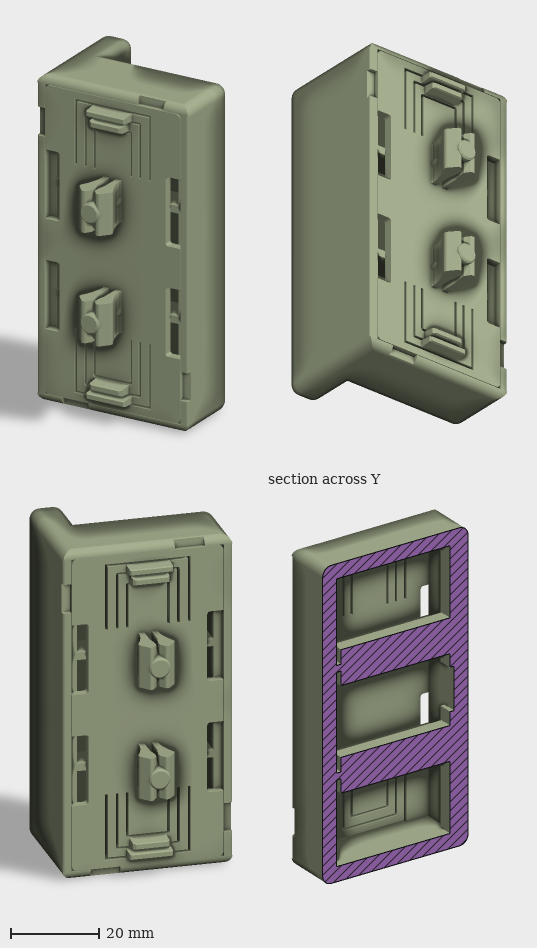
import cadquery as cq

WIDTH = 40.0
HEIGHT = 80.0
BODY_DEPTH = 18.0
WALL_DEPTH = 30.0
WALL_THICKNESS = 8.0
OUTER_RADIUS = 2.5
FRONT_RADIUS = 2.0
SIDE_RADIUS = 0.6

RIM = 2.0
PLATE_GAP = 0.2
PLATE_THICKNESS = 2.2
PLATE_CORNER = 1.2
CAVITY_INSET = 3.9
BACK_WALL = 2.0

NOTCH_LENGTH = 7.0
NOTCH_DEPTH = 1.3
END_NOTCH_X = 9.9
SIDE_NOTCH_Z = 28.6

FASTENER_Z = 13.5
FASTENER_HEIGHTS = (-FASTENER_Z, FASTENER_Z)
RIB_THICKNESS = 1.8

BAR_HEIGHT = 9.1
BAR_LENGTH = 29.9
BAR_FRONT = 9.2
LEDGE_STEP = 0.4
LEDGE_END = 5.5

BUTTON_WIDTH = 19.7
BUTTON_HEIGHT = 68.0
BUTTON_RISE = 1.8
BUTTON_GAP = 0.2
BUTTON_EDGE = 0.3

WINDOW_HEIGHT = 17.0
WINDOW_REACH = 6.0
WINDOW_CORNER = 0.6

SLOT_WIDTH = 0.6
SLOT_INNER_END = 20.0
SLOT_HALF_WIDTHS = (10.1, 7.5, 5.2)
SLOT_TOPS = (36.0, 33.7, 31.0)
SLOT_CORNERS = (0, 0.6, 0.6)

HOOK_LENGTH = 3.4
OUTER_HOOK = (5.1, 33.7, 35.5, 0.2, 0.3)
INNER_HOOK = (4.3, 31.1, 33.2, 0.3, 0.6)
HOOK_BEVEL = 0.2
HOOK_TIP = 0.5

CLIP_HEIGHT = 10.2
CLIP_LENGTH = 9.9
CLIP_FOOT_HALF = 2.5
CLIP_NECK_HALF = 2.4
CLIP_TIP_HALF = 2.2
CLIP_TIP_INNER = 1.7
CLIP_FLARE_END = 0.52
CLIP_NECK_END = 2.1
SLIT_HALF_WIDE = 0.9
SLIT_HALF_NARROW = 0.4
SLIT_WIDE_END = 4.8
SLIT_NARROW_START = 7.0
SLIT_NARROW_END = 8.5
CLIP_FLANK_MIDDLE = (3.0, -4.4)
CLIP_BULGE_START = (4.0, -6.5)
CLIP_BULGE_CREST = (4.2, -7.3)
CLIP_BULGE_END = (3.8, -8.1)
CLIP_LEAD_IN_MIDDLE = (1.4, -9.8)
CLIP_LEAD_IN_END = (1.1, -9.4)

PIN_DIAMETER = 5.0
PIN_LENGTH = 10.5
PIN_CHAMFER = 0.4


def block(x_min, x_max, y_min, y_max, z_min, z_max):
    """Box between two opposite corners."""
    size = (x_max - x_min, y_max - y_min, z_max - z_min)
    return cq.Workplane("XY").box(*size, centered=False).translate((x_min, y_min, z_min))


def centred_block(width, y_min, y_max, height):
    """Box centred on X and Z."""
    return block(-width / 2, width / 2, y_min, y_max, -height / 2, height / 2)


def rounded_plate(width, y_min, y_max, height, corner):
    """Centred box with rounded corners in the XZ plane."""
    return centred_block(width, y_min, y_max, height).edges("|Y").fillet(corner)


def housing_shell():
    """L-shaped block with rounded outer edges."""
    right = WIDTH / 2
    outline = [
        (-right, 0),
        (right, 0),
        (right, BODY_DEPTH),
        (-right + WALL_THICKNESS, BODY_DEPTH),
        (-right + WALL_THICKNESS, WALL_DEPTH),
        (-right, WALL_DEPTH),
    ]
    shell = cq.Workplane("XY").polyline(outline).close().extrude(HEIGHT)
    shell = shell.translate((0, 0, -HEIGHT / 2))
    back_corners = [outline[2], outline[4], outline[5]]
    for x, y in back_corners:
        shell = shell.edges(cq.selectors.NearestToPointSelector((x, y, 0))).fillet(OUTER_RADIUS)
    for end in (">Z", "<Z"):
        shell = shell.faces(end).edges("not(<Y)").fillet(OUTER_RADIUS)
    envelope = centred_block(WIDTH, 0, WALL_DEPTH, HEIGHT).edges("<Y and |X").fillet(FRONT_RADIUS)
    return shell.intersect(envelope)


def side_rounding(side):
    """Sliver that rounds the front edge of one side between the two ends."""
    x = side * WIDTH / 2
    height = HEIGHT - 2 * RIM
    corner = centred_block(2 * SIDE_RADIUS, -SIDE_RADIUS, SIDE_RADIUS, height).translate((x, 0, 0))
    rod = cq.Workplane("XY").circle(SIDE_RADIUS).extrude(height)
    rod = rod.translate((x - side * SIDE_RADIUS, SIDE_RADIUS, -height / 2))
    inner = centred_block(WIDTH - 2 * SIDE_RADIUS, -SIDE_RADIUS, SIDE_RADIUS, height)
    behind = centred_block(WIDTH, SIDE_RADIUS, 2 * SIDE_RADIUS, height)
    return corner.cut(rod).cut(inner).cut(behind)


def rim_notches():
    """Four notches through the rim, one per side, repeating after a half turn about Y."""
    right = WIDTH / 2
    top = HEIGHT / 2
    half = NOTCH_LENGTH / 2
    end_notch = block(END_NOTCH_X - half, END_NOTCH_X + half, 0, NOTCH_DEPTH, top - RIM, top)
    side_notch = block(-right, -right + RIM, 0, NOTCH_DEPTH, SIDE_NOTCH_Z - half, SIDE_NOTCH_Z + half)
    pair = end_notch.union(side_notch)
    return pair.union(pair.rotate((0, 0, 0), (0, 1, 0), 180))


def cavity_space():
    """Inside of the housing, less the ribs, bars and left-hand ledges that stay solid."""
    inner_back = BODY_DEPTH - BACK_WALL
    width = WIDTH - 2 * CAVITY_INSET
    space = centred_block(width, 0, inner_back, HEIGHT - 2 * CAVITY_INSET)
    for z in FASTENER_HEIGHTS:
        rib = centred_block(width, PLATE_THICKNESS, inner_back, RIB_THICKNESS)
        bar = centred_block(BAR_LENGTH, BAR_FRONT, inner_back, BAR_HEIGHT)
        space = space.cut(rib.union(bar).translate((0, 0, z)))
    ledge_front = BAR_FRONT - LEDGE_STEP
    ledge = block(-width / 2, -BAR_LENGTH / 2, ledge_front, inner_back, LEDGE_END, HEIGHT / 2)
    return space.cut(ledge).cut(ledge.mirror("XY"))


def make_housing():
    """Hollow L-shaped housing, open at the front for the plate and at the back for the button."""
    housing = housing_shell()
    for side in (-1, 1):
        housing = housing.cut(side_rounding(side))
    plate_recess = centred_block(WIDTH - 2 * RIM, 0, PLATE_THICKNESS, HEIGHT - 2 * RIM)
    button_opening = rounded_plate(
        BUTTON_WIDTH + 2 * BUTTON_GAP,
        BODY_DEPTH - BACK_WALL,
        BODY_DEPTH,
        BUTTON_HEIGHT + 2 * BUTTON_GAP,
        BUTTON_EDGE + BUTTON_GAP,
    )
    return housing.cut(plate_recess).cut(cavity_space()).cut(button_opening).cut(rim_notches())


def make_button():
    """Flat button that stands proud of the back wall."""
    y_min = BODY_DEPTH - BACK_WALL
    y_max = BODY_DEPTH + BUTTON_RISE
    return rounded_plate(BUTTON_WIDTH, y_min, y_max, BUTTON_HEIGHT, BUTTON_EDGE)


def side_window():
    """Notch through the left edge of the plate with two rounded inner corners."""
    left = -WIDTH / 2
    window = block(left, left + WINDOW_REACH, 0, PLATE_THICKNESS, -WINDOW_HEIGHT / 2, WINDOW_HEIGHT / 2)
    return window.edges("|Y and >X").fillet(WINDOW_CORNER)


def u_slot(half_width, top, corner):
    """Inverted U slot through the plate."""
    outer = block(-half_width, half_width, 0, PLATE_THICKNESS, SLOT_INNER_END, top)
    inner_half = half_width - SLOT_WIDTH
    inner = block(-inner_half, inner_half, 0, PLATE_THICKNESS, SLOT_INNER_END, top - SLOT_WIDTH)
    if corner:
        outer = outer.edges("|Y and >Z").fillet(corner)
    return outer.cut(inner)


def hook(half_width, root_bottom, root_top, tip_taper, end_taper):
    """Latch hook on the plate front: a tapered bar with a bevelled tip."""
    neck = HOOK_LENGTH - HOOK_TIP
    root_half = (root_top - root_bottom) / 2
    neck_half = root_half - tip_taper
    tip_half = neck_half - HOOK_BEVEL
    profile = [
        (0, -root_half),
        (-neck, -neck_half),
        (-HOOK_LENGTH, -tip_half),
        (-HOOK_LENGTH, tip_half),
        (-neck, neck_half),
        (0, root_half),
    ]
    bar = cq.Workplane("YZ").polyline(profile).close().extrude(half_width, both=True)
    outline = [
        (-half_width, 0),
        (half_width, 0),
        (half_width, -neck),
        (half_width - end_taper, -HOOK_LENGTH),
        (-half_width + end_taper, -HOOK_LENGTH),
        (-half_width, -neck),
    ]
    trim = cq.Workplane("XY").polyline(outline).close().extrude(root_half, both=True)
    return bar.intersect(trim).translate((0, 0, (root_bottom + root_top) / 2))


def make_plate():
    """Cover plate with windows, spring tongues, latch hooks and holes for the clips."""
    gap = 2 * (RIM + PLATE_GAP)
    plate = rounded_plate(WIDTH - gap, 0, PLATE_THICKNESS, HEIGHT - gap, PLATE_CORNER)
    for z in FASTENER_HEIGHTS:
        window = side_window()
        clip_hole = centred_block(2 * CLIP_FOOT_HALF, 0, PLATE_THICKNESS, CLIP_HEIGHT)
        for opening in (window, window.mirror("YZ"), clip_hole):
            plate = plate.cut(opening.translate((0, 0, z)))
    for half_width, top, corner in zip(SLOT_HALF_WIDTHS, SLOT_TOPS, SLOT_CORNERS):
        slot = u_slot(half_width, top, corner)
        plate = plate.cut(slot).cut(slot.mirror("XY"))
    for latch in (hook(*OUTER_HOOK), hook(*INNER_HOOK)):
        plate = plate.union(latch).union(latch.mirror("XY"))
    return plate


def clip_finger():
    """Right-hand spring finger of a clip: an outline in X and Y, extruded along Z."""
    return (
        cq.Workplane("XY")
        .moveTo(SLIT_HALF_WIDE, 0)
        .lineTo(CLIP_FOOT_HALF, 0)
        .lineTo(CLIP_TIP_HALF, -CLIP_FLARE_END)
        .lineTo(CLIP_NECK_HALF, -CLIP_NECK_END)
        .threePointArc(CLIP_FLANK_MIDDLE, CLIP_BULGE_START)
        .threePointArc(CLIP_BULGE_CREST, CLIP_BULGE_END)
        .lineTo(CLIP_TIP_HALF, -CLIP_LENGTH)
        .lineTo(CLIP_TIP_INNER, -CLIP_LENGTH)
        .threePointArc(CLIP_LEAD_IN_MIDDLE, CLIP_LEAD_IN_END)
        .lineTo(SLIT_HALF_NARROW, -SLIT_NARROW_END)
        .lineTo(SLIT_HALF_NARROW, -SLIT_NARROW_START)
        .lineTo(SLIT_HALF_WIDE, -SLIT_WIDE_END)
        .close()
        .extrude(CLIP_HEIGHT / 2, both=True)
    )


def make_clip(z):
    """Two-finger clip on a foot that fills its hole in the plate, bored for its pin."""
    right = clip_finger()
    clip = centred_block(2 * CLIP_FOOT_HALF, 0, PLATE_THICKNESS, CLIP_HEIGHT)
    clip = clip.union(right).union(right.mirror("YZ"))
    bore = cq.Workplane("XZ").circle(PIN_DIAMETER / 2).extrude(PIN_LENGTH)
    return clip.cut(bore).translate((0, 0, z))


def make_pin(z):
    """Round pin along the clip axis with a chamfered tip."""
    pin = cq.Workplane("XZ").circle(PIN_DIAMETER / 2).extrude(PIN_LENGTH)
    return pin.faces("<Y").chamfer(PIN_CHAMFER).translate((0, 0, z))


housing = make_housing()
button = make_button()
plate = make_plate()
clips = [make_clip(z) for z in FASTENER_HEIGHTS]
pins = [make_pin(z) for z in FASTENER_HEIGHTS]
bodies = [housing, plate, button, *clips, *pins]
result = cq.Compound.makeCompound([body.solids().val() for body in bodies])